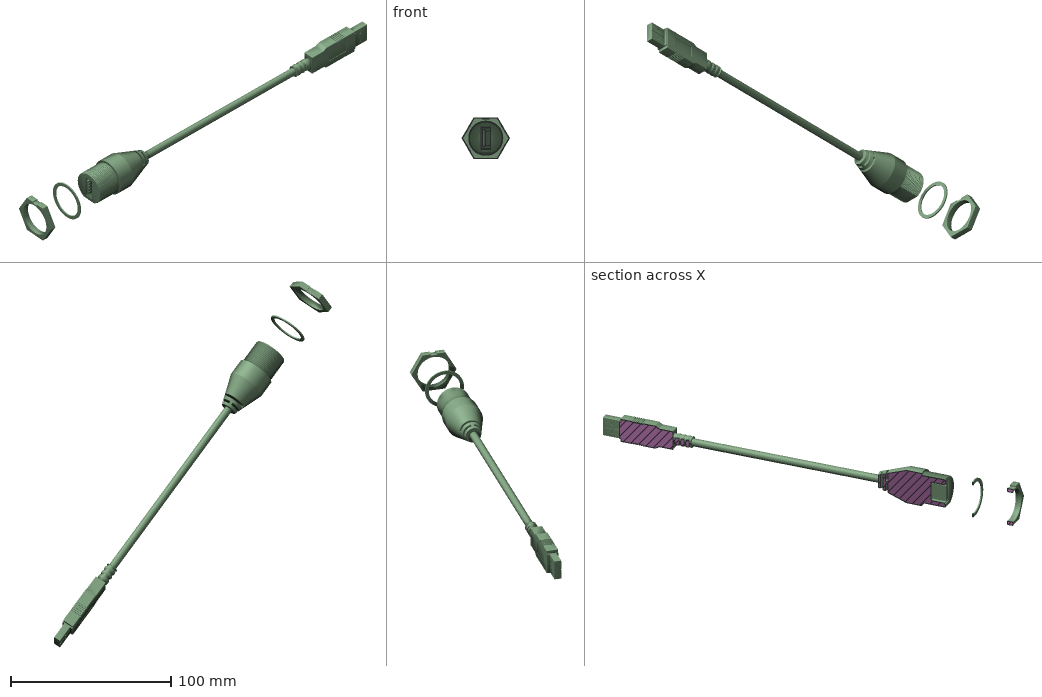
import cadquery as cq
import math

TOTAL_LENGTH = 279.0

NUT_FLATS = 25.5
NUT_THICKNESS = 4.0
NUT_HOLE_RADIUS = 10.5
NUT_NOTCH_WIDTH = 4.0
NUT_NOTCH_DEPTH = 0.8

RING_START = 26.8
RING_THICKNESS = 0.8
RING_OUTER_RADIUS = 12.5
RING_INNER_RADIUS = 10.3

SOCKET_START = 45.7
SHOULDER_START = 62.0
TAPER_START = 72.5
TAPER_END = 91.8
SHOULDER_RADIUS = 11.7
TAIL_RADIUS = 5.0
UPRIGHT_WEB_SLOT_START = 88.7
LEVEL_WEB_SLOT_START = 85.3
TAIL_SLOT_WIDTH = 1.5
TAIL_WEB_THICKNESS = 1.7

THREAD_RADIUS = 10.5
THREAD_DEPTH = 0.42
THREAD_RIDGES = 16
THREAD_CHAMFER = 0.3
THREAD_FLAT_DROP = 9.2

OPENING_WIDTH = 5.9
OPENING_HEIGHT = 14.0
MOUTH_DEPTH = 0.5
POCKET_HEIGHT = 12.5
POCKET_DEPTH = 9.8
CHANNEL_HEIGHT = 9.0
CHANNEL_DEPTH = 11.7
TONGUE_LEFT = -2.0
TONGUE_RIGHT = -0.5
TONGUE_HEIGHT = 10.5
CONTACT_COUNT = 4
CONTACT_PITCH = 2.2
CONTACT_HEIGHT = 0.8
CONTACT_THICKNESS = 0.42

CABLE_RADIUS = 2.5

RELIEF_START = 218.7
RELIEF_DIAMETER = 7.5
RELIEF_CORE_WIDTH = 5.5
RELIEF_CORE_HEIGHT = 7.3
RELIEF_GAPS = (219.2, 222.5, 226.0, 230.0)
RELIEF_GAP_WIDTH = 1.0
RELIEF_BEVEL = 0.3

GRIP_START = 231.2
GRIP_NARROW_END = 240.7
GRIP_WIDE_START = 243.2
GRIP_END = 267.0
COLLAR_END = 267.8
COLLAR_HEIGHT = 11.7
GRIP_WIDTH = 7.5
GRIP_HEIGHT = 15.5
GRIP_NARROW_HEIGHT = 12.5
GRIP_FILLET = 0.3
RIB_START = 251.9
RIB_END = 259.7
RIB_COUNT = 6
RIB_GROOVE_DEPTH = 0.42
LABEL_START = 245.5
LABEL_END = 260.0
LABEL_HEIGHT = 7.5
LABEL_DEPTH = 0.3

SHELL_WIDTH = 4.5
SHELL_HEIGHT = 12.5
SHELL_FILLET = 0.3
SHELL_SEAM_WIDTH = 0.8
SHELL_SEAM_DEPTH = 0.3
SHELL_HOLE_START = 272.5
SHELL_HOLE_LENGTH = 1.0
SHELL_HOLE_HEIGHT = 2.0
SHELL_HOLE_SPACING = 5.9
SHELL_HOLE_DEPTH = 0.5


def rod(radius, start, end):
    """Cylinder on the Y axis between two Y positions."""
    return cq.Workplane("XZ", origin=(0, start, 0)).circle(radius).extrude(start - end)


def box(width, start, end, height, x=0.0, z=0.0):
    """Box centred on (x, z) that spans two Y positions."""
    return cq.Workplane("XY").box(width, end - start, height).translate((x, (start + end) / 2, z))


def turned(points):
    """Solid of revolution about the Y axis from (radius, y) points."""
    return cq.Workplane("XY").polyline(points).close().revolve(360, (0, 0, 0), (0, 1, 0))


def make_nut():
    corner_diameter = NUT_FLATS / math.cos(math.pi / 6)
    nut = cq.Workplane("XZ").polygon(6, corner_diameter).circle(NUT_HOLE_RADIUS).extrude(-NUT_THICKNESS)
    notch = box(NUT_NOTCH_WIDTH, 0, NUT_THICKNESS, 2 * NUT_NOTCH_DEPTH, z=NUT_FLATS / 2)
    return nut.cut(notch)


def make_sealing_ring():
    end = RING_START + RING_THICKNESS
    return rod(RING_OUTER_RADIUS, RING_START, end).cut(rod(RING_INNER_RADIUS, RING_START, end))


def make_thread():
    """Front of the socket: a row of V ridges, cut flat along the bottom."""
    root_radius = THREAD_RADIUS - THREAD_DEPTH
    thread_start = SOCKET_START + THREAD_CHAMFER
    pitch = (SHOULDER_START - thread_start) / THREAD_RIDGES
    points = [(0, SOCKET_START), (THREAD_RADIUS - THREAD_CHAMFER, SOCKET_START)]
    for i in range(THREAD_RIDGES):
        points.append((root_radius, thread_start + i * pitch))
        points.append((THREAD_RADIUS, thread_start + (i + 0.5) * pitch))
    points.append((root_radius, SHOULDER_START))
    points.append((0, SHOULDER_START))
    flat_height = THREAD_RADIUS
    flat_z = -THREAD_FLAT_DROP - flat_height / 2
    flat = box(2 * THREAD_RADIUS, SOCKET_START, SHOULDER_START, flat_height, z=flat_z)
    return turned(points).cut(flat)


def make_tail_slot(start, web_width, web_height):
    """Cutter that leaves only a thin web of the tail between two Y positions."""
    end = start + TAIL_SLOT_WIDTH
    return rod(SHOULDER_RADIUS, start, end).cut(box(web_width, start, end, web_height))


def make_socket_body():
    """Shoulder and tapered tail, which flexes on an upright web and a level web."""
    full_span = 2 * SHOULDER_RADIUS
    body = turned([
        (0, SHOULDER_START),
        (SHOULDER_RADIUS, SHOULDER_START),
        (SHOULDER_RADIUS, TAPER_START),
        (TAIL_RADIUS, TAPER_END),
        (0, TAPER_END),
    ])
    upright_slot = make_tail_slot(UPRIGHT_WEB_SLOT_START, TAIL_WEB_THICKNESS, full_span)
    level_slot = make_tail_slot(LEVEL_WEB_SLOT_START, full_span, TAIL_WEB_THICKNESS)
    return body.cut(upright_slot).cut(level_slot)


def make_tongue():
    """Contact tongue in the socket opening, with the contacts on its +X side."""
    end = SOCKET_START + CHANNEL_DEPTH
    tongue_x = (TONGUE_LEFT + TONGUE_RIGHT) / 2
    tongue = box(TONGUE_RIGHT - TONGUE_LEFT, SOCKET_START, end, TONGUE_HEIGHT, x=tongue_x)
    contact_x = TONGUE_RIGHT + CONTACT_THICKNESS / 2
    for i in range(CONTACT_COUNT):
        z = (i - (CONTACT_COUNT - 1) / 2) * CONTACT_PITCH
        tongue = tongue.union(box(CONTACT_THICKNESS, SOCKET_START, end, CONTACT_HEIGHT, x=contact_x, z=z))
    return tongue


def make_opening():
    """Empty space of the socket opening around the tongue."""
    mouth = box(OPENING_WIDTH, SOCKET_START, SOCKET_START + MOUTH_DEPTH, OPENING_HEIGHT)
    pocket = box(OPENING_WIDTH, SOCKET_START, SOCKET_START + POCKET_DEPTH, POCKET_HEIGHT)
    channel_width = OPENING_WIDTH / 2 - TONGUE_RIGHT
    channel_x = (OPENING_WIDTH / 2 + TONGUE_RIGHT) / 2
    channel = box(channel_width, SOCKET_START, SOCKET_START + CHANNEL_DEPTH, CHANNEL_HEIGHT, x=channel_x)
    return mouth.union(pocket).union(channel).cut(make_tongue())


def make_socket():
    return make_thread().union(make_socket_body()).cut(make_opening())


def make_cable():
    return rod(CABLE_RADIUS, TAPER_END, RELIEF_START)


def make_relief_ring(start, end):
    """Strain relief ring with a shallow bevel on each side."""
    bevel_length = (end - start) / 3
    radius = RELIEF_DIAMETER / 2
    edge_radius = radius - RELIEF_BEVEL
    return turned([
        (0, start),
        (edge_radius, start),
        (radius, start + bevel_length),
        (radius, end - bevel_length),
        (edge_radius, end),
        (0, end),
    ])


def make_relief():
    core = cq.Workplane("XZ", origin=(0, RELIEF_START, 0))
    relief = core.ellipse(RELIEF_CORE_WIDTH / 2, RELIEF_CORE_HEIGHT / 2).extrude(RELIEF_START - GRIP_START)
    ring_start = RELIEF_START
    for gap_start in RELIEF_GAPS:
        relief = relief.union(make_relief_ring(ring_start, gap_start))
        ring_start = gap_start + RELIEF_GAP_WIDTH
    return relief


def make_grip_blank():
    """Grip without ribs or label: narrow at the cable end, wide at the shell end."""
    upper = [
        (GRIP_START, GRIP_NARROW_HEIGHT / 2),
        (GRIP_NARROW_END, GRIP_NARROW_HEIGHT / 2),
        (GRIP_WIDE_START, GRIP_HEIGHT / 2),
        (GRIP_END, GRIP_HEIGHT / 2),
    ]
    lower = [(y, -z) for y, z in reversed(upper)]
    blank = cq.Workplane("YZ").polyline(upper + lower).close().extrude(GRIP_WIDTH / 2, both=True)
    return blank.faces("<X or >X").edges().fillet(GRIP_FILLET)


def make_grip():
    grip = make_grip_blank()
    rib_pitch = (RIB_END - RIB_START) / RIB_COUNT
    for side in (-1, 1):
        for i in range(RIB_COUNT):
            start = RIB_START + i * rib_pitch
            groove_z = side * GRIP_HEIGHT / 2
            grip = grip.cut(box(GRIP_WIDTH, start, start + rib_pitch / 2, 2 * RIB_GROOVE_DEPTH, z=groove_z))
        label_x = side * GRIP_WIDTH / 2
        grip = grip.cut(box(2 * LABEL_DEPTH, LABEL_START, LABEL_END, LABEL_HEIGHT, x=label_x))
    return grip.union(box(GRIP_WIDTH, GRIP_END, COLLAR_END, COLLAR_HEIGHT))


def make_shell():
    """Metal shell: rounded bar with two latch holes per side and a seam on the -X side."""
    shell = box(SHELL_WIDTH, COLLAR_END, TOTAL_LENGTH, SHELL_HEIGHT).edges("|Y").fillet(SHELL_FILLET)
    hole_end = SHELL_HOLE_START + SHELL_HOLE_LENGTH
    for x in (-SHELL_WIDTH / 2, SHELL_WIDTH / 2):
        for z in (-SHELL_HOLE_SPACING / 2, SHELL_HOLE_SPACING / 2):
            hole = box(2 * SHELL_HOLE_DEPTH, SHELL_HOLE_START, hole_end, SHELL_HOLE_HEIGHT, x=x, z=z)
            shell = shell.cut(hole)
    seam = box(2 * SHELL_SEAM_DEPTH, COLLAR_END, TOTAL_LENGTH, SHELL_SEAM_WIDTH, x=-SHELL_WIDTH / 2)
    return shell.cut(seam)


def make_plug():
    return make_relief().union(make_grip()).union(make_shell())


nut = make_nut()
sealing_ring = make_sealing_ring()
socket = make_socket()
cable = make_cable()
plug = make_plug()

result = cq.Compound.makeCompound([nut.val(), sealing_ring.val(), socket.val(), cable.val(), plug.val()])